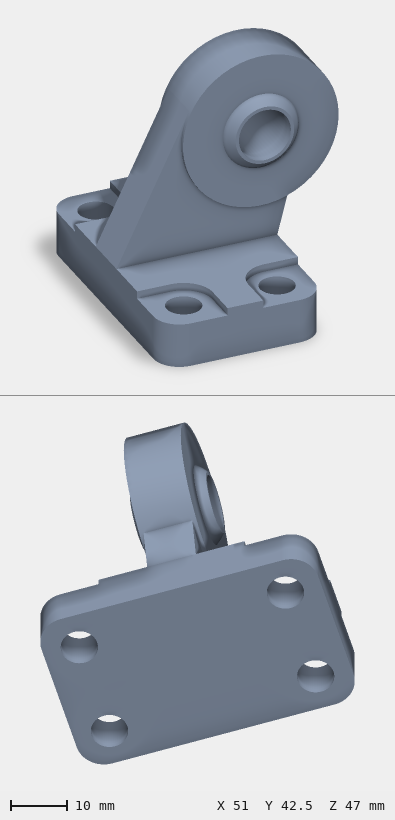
import cadquery as cq
import math

base_length = 51.0
base_depth = 31.0
base_height = 10.0
corner_radius = 5.0

hole_diameter = 6.6
hole_spacing_x = 38.0
hole_spacing_y = 18.0
recess_radius = 5.55
recess_depth = 1.5

overall_depth = 42.5
overall_height = 47.0
eye_radius = 15.0
eye_width = 10.5
eye_y = overall_depth - eye_radius
eye_z = overall_height - eye_radius

ball_diameter = 18.0
ball_width = 14.0
bore_diameter = 10.0

web_thickness = 9.0
web_back_lean = 14.5


def cylinder_along_x(radius, length):
    """Cylinder on the eye axis, centred on X = 0."""
    return (
        cq.Workplane("YZ", origin=(-length / 2, eye_y, eye_z))
        .circle(radius)
        .extrude(length)
    )


def make_base():
    """Rounded plate with four holes, each in a recess open to the plate corner."""
    plate = (
        cq.Workplane("XY")
        .box(base_length, base_depth, base_height, centered=(True, False, False))
        .edges("|Z")
        .fillet(corner_radius)
    )
    recess_length = (base_length - hole_spacing_x) / 2 + recess_radius
    recess_width = (base_depth - hole_spacing_y) / 2 + recess_radius
    for side_x in (-1, 1):
        for side_y in (-1, 1):
            recess_x = side_x * (base_length / 2 - recess_length / 2)
            recess_y = base_depth / 2 + side_y * (base_depth / 2 - recess_width / 2)
            inner_face_x = "<X" if side_x > 0 else ">X"
            inner_edge_y = "<Y" if side_y > 0 else ">Y"
            recess = (
                cq.Workplane("XY")
                .box(recess_length, recess_width, recess_depth)
                .faces(inner_face_x)
                .edges(inner_edge_y)
                .fillet(recess_radius)
                .translate((recess_x, recess_y, base_height - recess_depth / 2))
            )
            plate = plate.cut(recess)
    holes = (
        cq.Workplane("XY")
        .center(0, base_depth / 2)
        .rect(hole_spacing_x, hole_spacing_y, forConstruction=True)
        .vertices()
        .circle(hole_diameter / 2)
        .extrude(base_height)
    )
    return plate.cut(holes)


def make_web():
    """Leaning web whose front face runs tangent to the eye."""
    front_to_axis = math.hypot(eye_y, eye_z - base_height)
    axis_angle = math.atan2(eye_z - base_height, eye_y)
    front_angle = axis_angle + math.asin(eye_radius / front_to_axis)
    tangent_point = (
        eye_y - eye_radius * math.sin(front_angle),
        eye_z + eye_radius * math.cos(front_angle),
    )
    back_shift = (eye_z - base_height) * math.tan(math.radians(web_back_lean))
    return (
        cq.Workplane("YZ", origin=(-web_thickness / 2, 0, 0))
        .moveTo(0, base_height)
        .lineTo(*tangent_point)
        .lineTo(eye_y, eye_z)
        .lineTo(base_depth + back_shift, eye_z)
        .lineTo(base_depth, base_height)
        .close()
        .extrude(web_thickness)
    )


def make_ball():
    """Sphere cut flat on both sides of the eye, revolved about the eye axis."""
    ball_radius = ball_diameter / 2
    half_width = ball_width / 2
    flat_radius = math.sqrt(ball_radius**2 - half_width**2)
    return (
        cq.Workplane("XY", origin=(0, eye_y, eye_z))
        .moveTo(-half_width, 0)
        .lineTo(-half_width, flat_radius)
        .threePointArc((0, ball_radius), (half_width, flat_radius))
        .lineTo(half_width, 0)
        .close()
        .revolve(360, (0, 0, 0), (1, 0, 0))
    )


eye = cylinder_along_x(eye_radius, eye_width)
bore = cylinder_along_x(bore_diameter / 2, ball_width)

result = make_base().union(make_web()).union(eye).union(make_ball()).cut(bore)